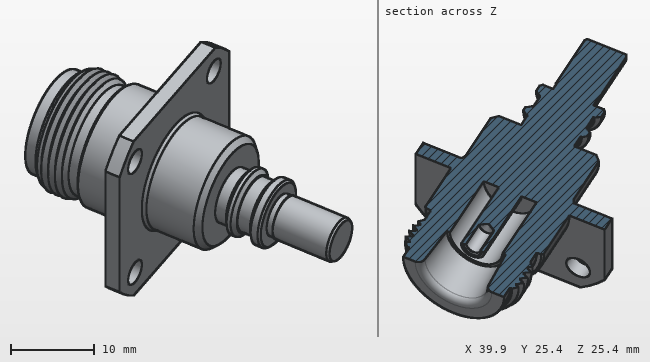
import cadquery as cq
import math

LENGTH = 39.9

NOSE_RADIUS = 6.8
THREAD_START = 1.6
THREAD_START_RADIUS = 7.05
THREAD_RADIUS = 7.98
THREAD_PITCH = 0.95
THREAD_END = 6.25
THREAD_HALF_ANGLE = 30.0
THREAD_GROOVES = 4
FIRST_GROOVE = 2.47
RELIEF_RADIUS = 7.15

BODY_START = 7.85
BODY_RADIUS = 7.98
BODY_CHAMFER = 0.25

FLANGE_START = 14.72
FLANGE_THICKNESS = 2.0
FLANGE_END = FLANGE_START + FLANGE_THICKNESS
FLANGE_SIDE = 25.4
FLANGE_CORNER_RADIUS = 15.85
MOUNT_SPACING = 18.27
MOUNT_DIAMETER = 3.2

REAR_RADIUS = 7.3
REAR_END = 24.55
REAR_CHAMFER = 0.75
COLLAR_RADIUS = 7.6
COLLAR_LENGTH = 0.48

STEM_RADIUS = 3.6
RING_RADIUS = 4.4
RING_EDGE_RADIUS = 3.75
RING_BEVEL = 0.48
FRONT_RING_START = 26.15
FRONT_RING_END = 27.65
REAR_RING_START = 29.5
REAR_RING_END = 31.2
REAR_RING_CHAMFER = 0.28

NECK_RADIUS = 2.75
TAIL_START = 32.05
TAIL_RADIUS = 2.85
TAIL_CHAMFER = 0.35
TAIL_TIP_RADIUS = 2.65

MOUTH_ROUND = 0.88
BORE_RADIUS = 4.25
BORE_FLOOR_RADIUS = 3.9
BORE_DEPTH = 5.9
COAX_RADIUS = 3.5
COAX_DEPTH = FLANGE_START

PIN_RADIUS = 1.55
PIN_TIP = 5.0
PIN_HOLE_RADIUS = 0.95
PIN_HOLE_CHAMFER = 0.25
PIN_HOLE_DEPTH = 3.6
DRILL_HALF_ANGLE = 59.0


def revolve(profile):
    """Turn a closed (x, radius) profile about the X axis."""
    return profile.close().revolve(360, (0, 0, 0), (1, 0, 0))


def turn(points):
    """Turn a polygon of (x, radius) points about the X axis."""
    return revolve(cq.Workplane("XY").polyline(points))


def turned_body():
    thread_chamfer = THREAD_RADIUS - THREAD_START_RADIUS
    end_chamfer = THREAD_RADIUS - RELIEF_RADIUS
    return turn([
        (0, 0),
        (0, NOSE_RADIUS),
        (THREAD_START, NOSE_RADIUS),
        (THREAD_START, THREAD_START_RADIUS),
        (THREAD_START + thread_chamfer, THREAD_RADIUS),
        (THREAD_END - end_chamfer, THREAD_RADIUS),
        (THREAD_END, RELIEF_RADIUS),
        (BODY_START, RELIEF_RADIUS),
        (BODY_START, BODY_RADIUS - BODY_CHAMFER),
        (BODY_START + BODY_CHAMFER, BODY_RADIUS),
        (FLANGE_END, BODY_RADIUS),
        (FLANGE_END, COLLAR_RADIUS),
        (FLANGE_END + COLLAR_LENGTH, REAR_RADIUS),
        (REAR_END - REAR_CHAMFER, REAR_RADIUS),
        (REAR_END, REAR_RADIUS - REAR_CHAMFER),
        (REAR_END, STEM_RADIUS),
        (FRONT_RING_START, STEM_RADIUS),
        (FRONT_RING_START, RING_EDGE_RADIUS),
        (FRONT_RING_START + RING_BEVEL, RING_RADIUS),
        (FRONT_RING_END - RING_BEVEL, RING_RADIUS),
        (FRONT_RING_END, RING_EDGE_RADIUS),
        (FRONT_RING_END, STEM_RADIUS),
        (REAR_RING_START, STEM_RADIUS),
        (REAR_RING_START, RING_EDGE_RADIUS),
        (REAR_RING_START + RING_BEVEL, RING_RADIUS),
        (REAR_RING_END - REAR_RING_CHAMFER, RING_RADIUS),
        (REAR_RING_END, RING_RADIUS - REAR_RING_CHAMFER),
        (REAR_RING_END, NECK_RADIUS),
        (TAIL_START, NECK_RADIUS),
        (TAIL_START, TAIL_RADIUS),
        (LENGTH - TAIL_CHAMFER, TAIL_RADIUS),
        (LENGTH, TAIL_TIP_RADIUS),
        (LENGTH, 0),
    ])


def thread_groove(center):
    """V-groove ring whose flanks meet the neighbouring grooves at sharp crests."""
    half_width = THREAD_PITCH / 2
    depth = half_width / math.tan(math.radians(THREAD_HALF_ANGLE))
    return turn([
        (center - half_width, THREAD_RADIUS),
        (center, THREAD_RADIUS - depth),
        (center + half_width, THREAD_RADIUS),
    ])


def flange():
    square = cq.Workplane("YZ", origin=(FLANGE_START, 0, 0)).rect(FLANGE_SIDE, FLANGE_SIDE)
    disc = cq.Workplane("YZ", origin=(FLANGE_START, 0, 0)).circle(FLANGE_CORNER_RADIUS)
    plate = square.extrude(FLANGE_THICKNESS).intersect(disc.extrude(FLANGE_THICKNESS))
    return (
        plate.faces(">X").workplane(origin=(FLANGE_END, 0, 0))
        .rect(MOUNT_SPACING, MOUNT_SPACING, forConstruction=True)
        .vertices()
        .hole(MOUNT_DIAMETER)
    )


def socket():
    """Rounded mouth, tapered bore and the narrower coaxial space behind it."""
    arc_offset = MOUTH_ROUND * (1 - math.sqrt(0.5))
    return revolve(
        cq.Workplane("XY")
        .moveTo(0, 0)
        .lineTo(0, BORE_RADIUS + MOUTH_ROUND)
        .threePointArc((arc_offset, BORE_RADIUS + arc_offset), (MOUTH_ROUND, BORE_RADIUS))
        .lineTo(BORE_DEPTH, BORE_FLOOR_RADIUS)
        .lineTo(BORE_DEPTH, COAX_RADIUS)
        .lineTo(COAX_DEPTH, COAX_RADIUS)
        .lineTo(COAX_DEPTH, 0)
    )


def center_contact():
    """Pin standing in the socket, with a chamfered, drill-pointed hole in its tip."""
    hole_end = PIN_TIP + PIN_HOLE_DEPTH
    drill_point = PIN_HOLE_RADIUS / math.tan(math.radians(DRILL_HALF_ANGLE))
    return turn([
        (hole_end + drill_point, 0),
        (hole_end, PIN_HOLE_RADIUS),
        (PIN_TIP + PIN_HOLE_CHAMFER, PIN_HOLE_RADIUS),
        (PIN_TIP, PIN_HOLE_RADIUS + PIN_HOLE_CHAMFER),
        (PIN_TIP, PIN_RADIUS),
        (COAX_DEPTH, PIN_RADIUS),
        (COAX_DEPTH, 0),
    ])


result = turned_body()
for index in range(THREAD_GROOVES):
    result = result.cut(thread_groove(FIRST_GROOVE + index * THREAD_PITCH))
result = result.union(flange()).cut(socket()).union(center_contact())